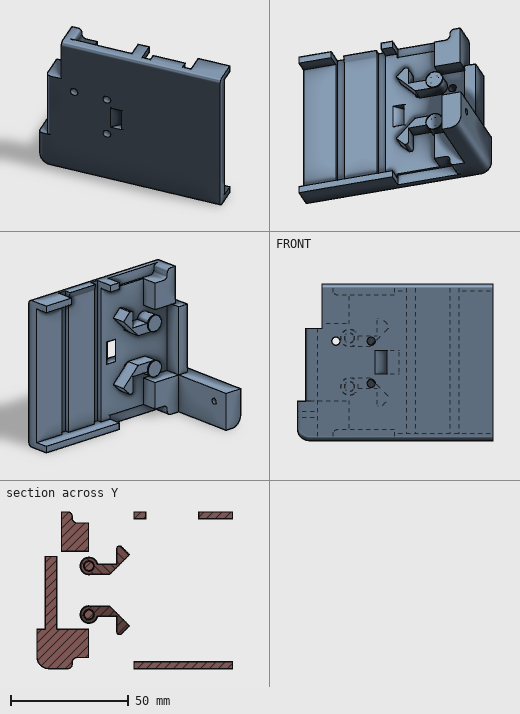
import cadquery as cq

LENGTH = 83.4
DEPTH = 42.5
HEIGHT = 66.9
MID_Z = HEIGHT / 2

PLATE_THICK = 5.1
ARM_TOP = 16.85
COLUMN_LEFT = 3.5
COLUMN_TOP = 47.9
UPPER_LEFT = 10.4
EDGE_RADIUS = 2.0
CORNER_RADIUS = 5.2

SIDE_RIGHT = 8.5
RIM_DEPTH = 12.5
ARM_HOLE_DIAMETER = 2.6
ARM_HOLE_Y = 35.0
ARM_HOLE_Z = 11.2

BLOCK_BOTTOM = HEIGHT - ARM_TOP
BLOCK_RIGHT = 22.1
LEDGE_Z = 62.1
FLANK_LEFT = 13.1
FLANK_RADIUS = 2.0
RECESS_FLOOR_Y = 4.0
RECESS_RIGHT = 41.4

FLANGE_DEPTH = 11.2
FLANGE_THICK = 3.0
OPENING_LEFT = 46.45
OPENING_RIGHT = 68.9

TAB_LEFT = 50.3
TAB_RIGHT = 65.05
TAB_DEPTH = 6.0
GROOVE_FLOOR_Y = 3.0

PLATE_HOLE_DIAMETER = 3.4
HOLE_LEFT_X = 16.4
HOLE_RIGHT_X = 31.45
HOLE_SPACING_Z = 18.0
WINDOW_LEFT = 33.1
WINDOW_WIDTH = 5.0
WINDOW_HEIGHT = 10.1

BORE_CLEARANCE = 0.2
AXIAL_GAP = 0.1
LEVER_THICK = 6.5
PIVOT_X = 22.2
PIVOT_RISE = 10.3
PIVOT_ZS = (MID_Z + PIVOT_RISE, MID_Z - PIVOT_RISE)
HUB_RADIUS = 3.6
HEAD_RADIUS = 3.75
HEAD_THICK = 0.6
POST_RADIUS = 2.0
LEVER_ARM_HEIGHT = 4.3
HOOK_LEFT = 34.0
HOOK_ROUND = 1.0
HOOK_FLAT = 0.75
TIP_X = 39.45
UNDERSIDE_X = 31.0


def box(x0, x1, y0, y1, z0, z1):
    """Block between two opposite corners."""
    return cq.Workplane("XY").box(x1 - x0, y1 - y0, z1 - z0, centered=False).translate((x0, y0, z0))


def cylinder(x, z, radius, y0, y1):
    """Cylinder along Y."""
    return cq.Workplane("XZ", origin=(x, y0, z)).circle(radius).extrude(y0 - y1)


def make_lower_tier():
    """Bottom of the plate with the long arm and lower stop block, rounded at the lower left corner."""
    tier = box(0, LENGTH, 0, PLATE_THICK, 0, ARM_TOP)
    tier = tier.union(box(0, SIDE_RIGHT, 0, DEPTH, 0, ARM_TOP))
    tier = tier.union(box(0, BLOCK_RIGHT, 0, RIM_DEPTH, 0, ARM_TOP))
    tier = tier.edges(cq.selectors.NearestToPointSelector((0, DEPTH / 2, 0))).fillet(CORNER_RADIUS)
    tier = tier.edges(cq.selectors.NearestToPointSelector((LENGTH / 2, 0, 0))).fillet(EDGE_RADIUS)
    hole = (
        cq.Workplane("YZ", origin=(0, ARM_HOLE_Y, ARM_HOLE_Z))
        .circle(ARM_HOLE_DIAMETER / 2)
        .extrude(SIDE_RIGHT)
    )
    return tier.cut(hole)


def make_middle_tier():
    """Middle of the plate with the side column."""
    tier = box(COLUMN_LEFT, LENGTH, 0, PLATE_THICK, ARM_TOP, COLUMN_TOP)
    tier = tier.union(box(COLUMN_LEFT, SIDE_RIGHT, 0, RIM_DEPTH, ARM_TOP, COLUMN_TOP))
    return tier.edges("|Z and <X and <Y").fillet(EDGE_RADIUS)


def make_upper_tier():
    """Top of the plate with the upper stop block."""
    tier = box(UPPER_LEFT, LENGTH, 0, PLATE_THICK, COLUMN_TOP, HEIGHT)
    tier = tier.union(box(UPPER_LEFT, BLOCK_RIGHT, 0, RIM_DEPTH, BLOCK_BOTTOM, HEIGHT))
    return tier.edges("|X and <Y and >Z").fillet(EDGE_RADIUS)


def make_recess():
    """Cutter that lowers the inner part of the top edge to the ledge, starting with an S-shaped flank."""
    bend_x = FLANK_LEFT + FLANK_RADIUS
    return (
        cq.Workplane("XZ", origin=(0, RECESS_FLOOR_Y, 0))
        .moveTo(FLANK_LEFT, HEIGHT)
        .radiusArc((bend_x, HEIGHT - FLANK_RADIUS), FLANK_RADIUS)
        .lineTo(bend_x, LEDGE_Z + FLANK_RADIUS)
        .radiusArc((bend_x + FLANK_RADIUS, LEDGE_Z), -FLANK_RADIUS)
        .lineTo(RECESS_RIGHT, LEDGE_Z)
        .lineTo(RECESS_RIGHT, HEIGHT)
        .close()
        .extrude(RECESS_FLOOR_Y - RIM_DEPTH)
    )


def add_flanges(housing):
    """Top and bottom flanges on the right; the top one is open in the middle."""
    top_z = HEIGHT - FLANGE_THICK
    spans = [
        (RECESS_RIGHT, LENGTH, 0, FLANGE_THICK),
        (RECESS_RIGHT, OPENING_LEFT, top_z, HEIGHT),
        (OPENING_RIGHT, LENGTH, top_z, HEIGHT),
    ]
    for x0, x1, z0, z1 in spans:
        housing = housing.union(box(x0, x1, PLATE_THICK, FLANGE_DEPTH, z0, z1))
    return housing


def add_snap_tab(housing):
    """Snap wedge at the top edge, between two grooves that run down to the bottom flange."""
    for x0, x1 in [(OPENING_LEFT, TAB_LEFT), (TAB_RIGHT, OPENING_RIGHT)]:
        housing = housing.cut(box(x0, x1, GROOVE_FLOOR_Y, FLANGE_DEPTH, FLANGE_THICK, HEIGHT))
    wedge = (
        cq.Workplane("YZ", origin=(TAB_LEFT, 0, 0))
        .polyline([
            (GROOVE_FLOOR_Y, HEIGHT - FLANGE_THICK),
            (PLATE_THICK, HEIGHT - FLANGE_THICK),
            (TAB_DEPTH, HEIGHT),
            (GROOVE_FLOOR_Y, HEIGHT),
        ])
        .close()
        .extrude(TAB_RIGHT - TAB_LEFT)
    )
    return housing.union(wedge)


def make_window():
    """Cutter for the window, which runs through the plate at 45 degrees toward +X."""
    right = WINDOW_LEFT + WINDOW_WIDTH
    return (
        cq.Workplane("XY", origin=(0, 0, MID_Z - WINDOW_HEIGHT / 2))
        .polyline([
            (WINDOW_LEFT, 0),
            (right, 0),
            (right + PLATE_THICK, PLATE_THICK),
            (WINDOW_LEFT + PLATE_THICK, PLATE_THICK),
        ])
        .close()
        .extrude(WINDOW_HEIGHT)
    )


def cut_plate_holes(housing):
    """Three round holes through the plate."""
    upper_z = MID_Z + HOLE_SPACING_Z / 2
    lower_z = MID_Z - HOLE_SPACING_Z / 2
    for x, z in [(HOLE_LEFT_X, upper_z), (HOLE_RIGHT_X, upper_z), (HOLE_RIGHT_X, lower_z)]:
        housing = housing.cut(cylinder(x, z, PLATE_HOLE_DIAMETER / 2, 0, PLATE_THICK))
    return housing


def add_posts(housing):
    """Headed post for each lever."""
    for z in PIVOT_ZS:
        housing = housing.union(cylinder(PIVOT_X, z, POST_RADIUS, PLATE_THICK, RIM_DEPTH))
        housing = housing.union(cylinder(PIVOT_X, z, HEAD_RADIUS, RIM_DEPTH - HEAD_THICK, RIM_DEPTH))
    return housing


def make_housing():
    """Plate with its arm, column, stop blocks, flanges and lever posts."""
    housing = make_lower_tier().union(make_middle_tier()).union(make_upper_tier())
    recess = make_recess()
    housing = housing.cut(recess).cut(recess.mirror("XY", (0, 0, MID_Z)))
    housing = add_flanges(housing)
    housing = add_snap_tab(housing)
    housing = housing.cut(make_window())
    housing = cut_plate_holes(housing)
    return add_posts(housing)


def make_upper_lever():
    """Lever above the middle: a bored hub, an arm toward +X and a hook with a 90 degree tip."""
    y0 = PLATE_THICK + AXIAL_GAP
    y1 = y0 + LEVER_THICK
    pivot_z = MID_Z + PIVOT_RISE
    arm_bottom = pivot_z - HUB_RADIUS
    arm_top = arm_bottom + LEVER_ARM_HEIGHT
    tip_z = arm_bottom + TIP_X - UNDERSIDE_X
    ramp_x = HOOK_LEFT + HOOK_ROUND + HOOK_FLAT
    hook_top = tip_z + TIP_X - ramp_x
    arm = (
        cq.Workplane("XZ", origin=(0, y0, 0))
        .moveTo(PIVOT_X, arm_bottom)
        .lineTo(UNDERSIDE_X, arm_bottom)
        .lineTo(TIP_X, tip_z)
        .lineTo(ramp_x, hook_top)
        .lineTo(HOOK_LEFT + HOOK_ROUND, hook_top)
        .radiusArc((HOOK_LEFT, hook_top - HOOK_ROUND), -HOOK_ROUND)
        .lineTo(HOOK_LEFT, arm_top)
        .lineTo(PIVOT_X, arm_top)
        .close()
        .extrude(y0 - y1)
    )
    lever = arm.union(cylinder(PIVOT_X, pivot_z, HUB_RADIUS, y0, y1))
    return lever.cut(cylinder(PIVOT_X, pivot_z, POST_RADIUS + BORE_CLEARANCE, y0, y1))


def make_levers():
    """The two levers, mirror images about the middle height."""
    upper = make_upper_lever()
    lower = upper.mirror("XY", (0, 0, MID_Z))
    return [upper, lower]


housing = make_housing()
levers = make_levers()
result = cq.Compound.makeCompound([housing.val(), *[lever.val() for lever in levers]])